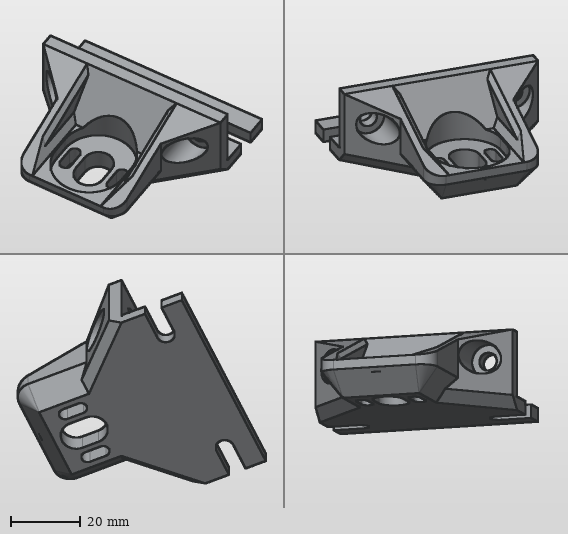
import cadquery as cq
import math

width = 60.0
height = 23.0
wall_thickness = 4.0
plate_depth = 19.0
plate_thickness = 4.0

edge_slot_width = 5.2
edge_slot_reach = 11.5
edge_slot_setback = 9.0

tray_reach = 36.0
tray_half_width = 17.5
tray_corner = 5.0
taper_height = 7.3
taper_inset = 5.9
apex_corner = 0.02
floor_z = 10.15
rim_slope = (height - floor_z) / tray_reach

overrun = 2 * tray_reach

gusset_taper_height = 3.75
gusset_front_y = -16.0

cavity_half_width = 13.5
floor_half_width = 11.55
floor_flare_height = 2.25
floor_back_y = -12.0
rim_chamfer_width = 1.65
rim_chamfer_depth = 1.4

slot_center_y = -21.0
slot_straight = 5.0
recess_width = 22.4
recess_depth = 4.0
center_slot_width = 9.0
side_slot_width = 3.5
side_slot_x = 8.0

screw_x = 22.5
screw_z = 14.0
screw_diameter = 5.2
counterbore_diameter = 9.7


def make_wall_and_plate():
    """L-shaped profile: upright wall with a base plate behind it."""
    back_y = wall_thickness + plate_depth
    return (
        cq.Workplane("YZ")
        .moveTo(wall_thickness, 0)
        .lineTo(back_y, 0)
        .lineTo(back_y, plate_thickness)
        .lineTo(wall_thickness, plate_thickness)
        .lineTo(wall_thickness, height)
        .lineTo(0, height)
        .lineTo(0, gusset_taper_height)
        .close()
        .extrude(width / 2, both=True)
    )


def tray_outline(z, half_width, front_y, corner):
    """Closed wire of the tray at height z, with rounded front corners."""
    mid = corner * (1 - math.sqrt(0.5))
    return (
        cq.Workplane("XY", origin=(0, 0, z))
        .moveTo(-half_width, wall_thickness)
        .lineTo(-half_width, front_y + corner)
        .threePointArc((-half_width + mid, front_y + mid), (-half_width + corner, front_y))
        .lineTo(half_width - corner, front_y)
        .threePointArc((half_width - mid, front_y + mid), (half_width, front_y + corner))
        .lineTo(half_width, wall_thickness)
        .close()
    )


def make_tray():
    """Round-cornered tray whose underside tapers to sharp corners."""
    top = tray_outline(taper_height, tray_half_width, -tray_reach, tray_corner)
    bottom = tray_outline(0, tray_half_width - taper_inset, -tray_reach + taper_inset, apex_corner)
    taper = cq.Solid.makeLoft([bottom.val(), top.val()], True)
    return top.extrude(height - taper_height).union(cq.Workplane(taper))


def gusset_outline(z, edge_y):
    """Trapezoid whose 45 degree sides cross the side planes of the wall at edge_y."""
    back_half = width / 2 + wall_thickness - edge_y
    front_half = width / 2 + gusset_front_y - edge_y
    return cq.Workplane("XY", origin=(0, 0, z)).polyline([
        (-back_half, wall_thickness),
        (back_half, wall_thickness),
        (front_half, gusset_front_y),
        (-front_half, gusset_front_y),
    ]).close()


def make_gussets():
    """Gussets with an undercut lower edge, trimmed to the wall width."""
    top = gusset_outline(gusset_taper_height, 0)
    bottom = gusset_outline(0, wall_thickness)
    taper = cq.Solid.makeLoft([bottom.val(), top.val()], True)
    gussets = top.extrude(height - gusset_taper_height).union(cq.Workplane(taper))
    return gussets.intersect(cq.Workplane("XY").box(width, 2 * overrun, 2 * overrun))


def rim_cutter():
    """Wedge that slopes the rim down from the wall top to the tray front."""
    return (
        cq.Workplane("YZ")
        .moveTo(0, height)
        .lineTo(-overrun, height - rim_slope * overrun)
        .lineTo(-overrun, height)
        .close()
        .extrude(width, both=True)
    )


def cavity_cutter():
    """Pocket with a sloped back, vertical sides, flared floor edges and a chamfered rim."""
    flare = (cavity_half_width - floor_half_width) / floor_flare_height
    top_half = floor_half_width + flare * (height - floor_z)
    flared = (
        cq.Workplane("XZ")
        .polyline([
            (-floor_half_width, floor_z),
            (floor_half_width, floor_z),
            (top_half, height),
            (-top_half, height),
        ])
        .close()
        .extrude(overrun)
    )

    rim_half = cavity_half_width + rim_chamfer_width
    chamfer_slope = rim_chamfer_width / rim_chamfer_depth
    outer_half = rim_half + chamfer_slope * height
    rim_front_z = height - rim_slope * overrun
    sections = []
    for y, z in ((0, height), (-overrun, rim_front_z)):
        section = cq.Workplane("XZ", origin=(0, y, z)).polyline([
            (-cavity_half_width, -overrun),
            (cavity_half_width, -overrun),
            (cavity_half_width, -rim_chamfer_depth),
            (outer_half, height),
            (-outer_half, height),
            (-cavity_half_width, -rim_chamfer_depth),
        ]).close()
        sections.append(section.val())
    channel = cq.Workplane(cq.Solid.makeLoft(sections, True))

    sloped_back = (
        cq.Workplane("YZ")
        .polyline([
            (0, height),
            (floor_back_y, floor_z),
            (-overrun, floor_z),
            (-overrun, height),
        ])
        .close()
        .extrude(width, both=True)
    )
    return flared.intersect(channel).intersect(sloped_back)


def oblong_cutter(x, slot_width, bottom_z):
    """Slot running along Y, open upward from bottom_z."""
    return (
        cq.Workplane("XY", origin=(x, slot_center_y, bottom_z))
        .slot2D(slot_straight + slot_width, slot_width, 90)
        .extrude(height - bottom_z)
    )


def cut_floor(body):
    """Oblong recess in the tray floor with three slots through its bottom."""
    recess_z = floor_z - recess_depth
    body = body.cut(oblong_cutter(0, recess_width, recess_z))
    body = body.cut(oblong_cutter(0, center_slot_width, 0))
    for side in (-1, 1):
        body = body.cut(oblong_cutter(side * side_slot_x, side_slot_width, 0))
    return body


def cut_screw_hole(body, x):
    """Hole through the wall with a counterbore down to the wall front face."""
    front = cq.Workplane("XZ", origin=(x, 0, screw_z))
    hole = front.circle(screw_diameter / 2).extrude(wall_thickness, both=True)
    counterbore = front.circle(counterbore_diameter / 2).extrude(tray_reach)
    return body.cut(hole).cut(counterbore)


def cut_edge_slots(body):
    """Round-ended slots open to both side edges of the base plate."""
    slot_y = wall_thickness + plate_depth - edge_slot_setback
    for side in (-1, 1):
        slot = (
            cq.Workplane("XY", origin=(side * width / 2, slot_y, 0))
            .slot2D(2 * edge_slot_reach, edge_slot_width)
            .extrude(plate_thickness)
        )
        body = body.cut(slot)
    return body


result = make_wall_and_plate().union(make_tray()).union(make_gussets())
result = result.cut(rim_cutter())
result = result.cut(cavity_cutter())
result = cut_floor(result)
for screw_side in (-1, 1):
    result = cut_screw_hole(result, screw_side * screw_x)
result = cut_edge_slots(result)